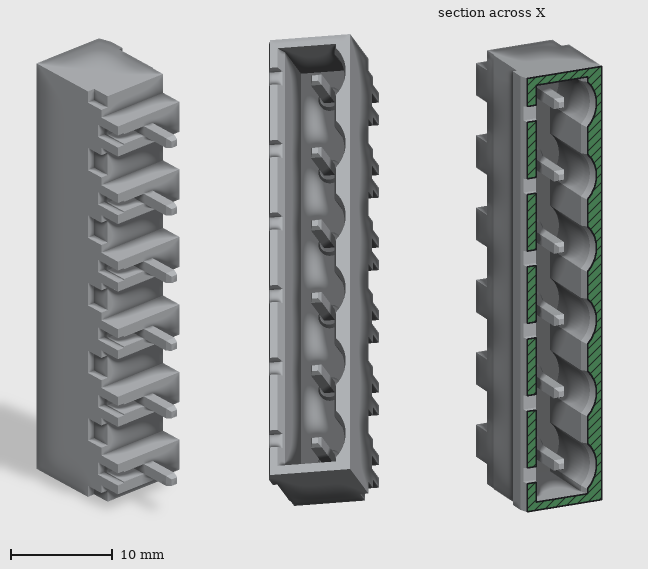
import cadquery as cq


PIN_COUNT = 6
LENGTH = 45
PITCH = LENGTH / PIN_COUNT
PIN_Y = 3.9
PIN_Z = [PITCH * (i + 0.5) for i in range(PIN_COUNT)]

BODY_BACK = 9.75
MOUTH_HEIGHT = 8.05
BACK_HEIGHT = 7.95
BACK_STEP_X = 8.15
RIB_TOP = 8.5
RIB_RAMP_END = 1.35
RIB_END = 3.0

CAVITY_FLOOR = 8.15
END_WALL = 0.9
CAVITY_LOW_Y = 1.9
CAVITY_HIGH_Y = 6.9
SCALLOP_RADIUS = 3.0
LEAD_IN = 0.45
LEAD_IN_LENGTH = 1.35

KEY_DEPTH = 0.95
KEY_MOUTH_WIDTH = 1.75
KEY_FLOOR_WIDTH = 1.45

BLOCK_BACK = 12.25
BLOCK_WIDTH = 3.35
SLOT_WIDTH = 1.35
SLOT_FLOOR = 9.25
SLOT_MOUTH_DEPTH = 0.8

RECESS_START = 7.75
RECESS_WIDTH = 2.48
RECESS_DEPTH = 0.8

PIN_SIZE = 1.1
PIN_FRONT = 1.55
PIN_BACK = 16.2
FRONT_TIP_SIZE = 0.6
FRONT_TIP_LENGTH = 0.6
BACK_TIP_SIZE = 0.7
BACK_TIP_LENGTH = 0.65
COLLAR_BASE_RADIUS = 1.2
COLLAR_TOP_RADIUS = 1.0
COLLAR_LENGTH = 0.45


def box(x0, x1, y0, y1, z0, z1):
    """Axis-aligned box between two opposite corners."""
    return cq.Workplane("XY").box(x1 - x0, y1 - y0, z1 - z0, centered=False).translate((x0, y0, z0))


def cone_x(x0, radius0, x1, radius1, z):
    """Cone frustum along X on a pin axis; equal radii give a cylinder."""
    start = cq.Vector(x0, PIN_Y, z)
    axis = cq.Vector(1, 0, 0)
    if radius0 == radius1:
        return cq.Workplane(cq.Solid.makeCylinder(radius0, x1 - x0, start, axis))
    return cq.Workplane(cq.Solid.makeCone(radius0, radius1, x1 - x0, start, axis))


def square_taper(x0, size0, x1, size1, z):
    """Square frustum along X on a pin axis."""
    return (
        cq.Workplane("YZ", origin=(x0, PIN_Y, z))
        .rect(size0, size0)
        .workplane(offset=x1 - x0)
        .rect(size1, size1)
        .loft(ruled=True)
    )


def make_housing():
    profile = [
        (0, 0),
        (0, MOUTH_HEIGHT),
        (RIB_RAMP_END, RIB_TOP),
        (RIB_END, RIB_TOP),
        (RIB_END, MOUTH_HEIGHT),
        (BACK_STEP_X, MOUTH_HEIGHT),
        (BACK_STEP_X, BACK_HEIGHT),
        (BODY_BACK, BACK_HEIGHT),
        (BODY_BACK, 0),
    ]
    return cq.Workplane("XY").polyline(profile).close().extrude(LENGTH)


def make_cavity():
    profile = [
        (0, CAVITY_LOW_Y - LEAD_IN),
        (LEAD_IN_LENGTH, CAVITY_LOW_Y),
        (CAVITY_FLOOR, CAVITY_LOW_Y),
        (CAVITY_FLOOR, CAVITY_HIGH_Y),
        (LEAD_IN_LENGTH, CAVITY_HIGH_Y),
        (0, CAVITY_HIGH_Y + LEAD_IN),
    ]
    trough = cq.Workplane("XY").polyline(profile).close().extrude(LENGTH - 2 * END_WALL)
    cavity = trough.translate((0, 0, END_WALL))
    low_side = box(0, CAVITY_FLOOR, 0, PIN_Y, END_WALL, LENGTH - END_WALL)
    for z in PIN_Z:
        scallop = cone_x(0, SCALLOP_RADIUS + LEAD_IN, LEAD_IN_LENGTH, SCALLOP_RADIUS, z)
        scallop = scallop.union(cone_x(LEAD_IN_LENGTH, SCALLOP_RADIUS, CAVITY_FLOOR, SCALLOP_RADIUS, z))
        cavity = cavity.union(scallop.intersect(low_side))
    return cavity


def make_key_notch(z):
    half_mouth = KEY_MOUTH_WIDTH / 2
    half_floor = KEY_FLOOR_WIDTH / 2
    profile = [
        (0, z - half_mouth),
        (KEY_DEPTH, z - half_floor),
        (KEY_DEPTH, z + half_floor),
        (0, z + half_mouth),
    ]
    return cq.Workplane("XZ", origin=(0, PIN_Y, 0)).polyline(profile).close().extrude(PIN_Y - RIB_TOP)


def make_block(z):
    return box(BODY_BACK, BLOCK_BACK, 0, BACK_HEIGHT, z - BLOCK_WIDTH / 2, z + BLOCK_WIDTH / 2)


def make_slot(z):
    """Wide mouth in the side wall, then a pin-width channel reaching the pin tail."""
    half_mouth = SLOT_WIDTH / 2
    half_pin = PIN_SIZE / 2
    mouth = box(SLOT_FLOOR, BLOCK_BACK, 0, SLOT_MOUTH_DEPTH, z - half_mouth, z + half_mouth)
    channel = box(BODY_BACK, BLOCK_BACK, SLOT_MOUTH_DEPTH, PIN_Y, z - half_pin, z + half_pin)
    return mouth.union(channel)


def make_recess(z):
    half = RECESS_WIDTH / 2
    return box(RECESS_START, BODY_BACK, 0, RECESS_DEPTH, z - half, z + half)


def make_pin(z):
    shank_start = PIN_FRONT + FRONT_TIP_LENGTH
    shank_end = PIN_BACK - BACK_TIP_LENGTH
    half = PIN_SIZE / 2
    shank = box(shank_start, shank_end, PIN_Y - half, PIN_Y + half, z - half, z + half)
    front_tip = square_taper(PIN_FRONT, FRONT_TIP_SIZE, shank_start, PIN_SIZE, z)
    back_tip = square_taper(shank_end, PIN_SIZE, PIN_BACK, BACK_TIP_SIZE, z)
    collar = cone_x(CAVITY_FLOOR - COLLAR_LENGTH, COLLAR_TOP_RADIUS, CAVITY_FLOOR, COLLAR_BASE_RADIUS, z)
    return shank.union(front_tip).union(back_tip).union(collar)


result = make_housing().cut(make_cavity())
for i in range(PIN_COUNT + 1):
    result = result.cut(make_recess(i * PITCH))
for pin_z in PIN_Z:
    result = result.cut(make_key_notch(pin_z)).union(make_block(pin_z)).cut(make_slot(pin_z))
    result = result.union(make_pin(pin_z))